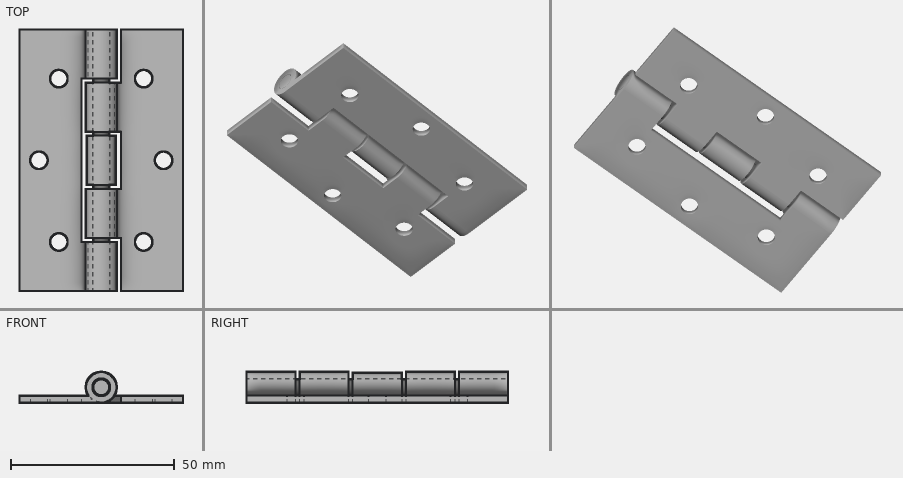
import cadquery as cq

length = 80.0
width = 50.0
leaf_thickness = 2.2
knuckle_diameter = 9.5
knuckle_radius = knuckle_diameter / 2
axis_height = knuckle_radius

segment_count = 5
gap = 1.2
segment_length = (length - (segment_count - 1) * gap) / segment_count
segment_pitch = segment_length + gap
pin_diameter = 5.0
pin_radius = pin_diameter / 2
bore_radius = 2.6
sleeve_radius = 4.5

hole_diameter = 5.3
hole_spacing = 25.0
outer_hole_x = 13.0
middle_hole_x = 19.0

left_segments = (0, 4)
right_segments = (1, 3)
middle_segment = 2


def segment_start(segment):
    """Y of the lower end of a barrel segment."""
    return -length / 2 + segment * segment_pitch


def cylinder(radius, start_y, cylinder_length):
    """Cylinder about the pin axis, running toward +Y from start_y."""
    return cq.Workplane(cq.Solid.makeCylinder(
        radius, cylinder_length, cq.Vector(0, start_y, axis_height), cq.Vector(0, 1, 0)))


def box(x_min, x_max, y_min, y_max):
    """Plate of leaf thickness resting on Z = 0."""
    return cq.Workplane().box(
        x_max - x_min, y_max - y_min, leaf_thickness, centered=False
    ).translate((x_min, y_min, 0))


def make_leaf(side, segments):
    """Flat leaf with rolled knuckles; side is -1 for left and 1 for right."""
    plate_inner_x = knuckle_radius + gap
    plate_width = width / 2 - plate_inner_x
    plate_center = side * (plate_inner_x + plate_width / 2)
    leaf = box(plate_center - plate_width / 2, plate_center + plate_width / 2, -length / 2, length / 2)

    for segment in segments:
        start = segment_start(segment)
        strip_ends = sorted((0, side * plate_inner_x))
        leaf = leaf.union(box(*strip_ends, start, start + segment_length))
        leaf = leaf.union(cylinder(knuckle_radius, start, segment_length))
    leaf = leaf.cut(cylinder(bore_radius, -length / 2, length))

    hole_points = [
        (side * outer_hole_x, -hole_spacing),
        (side * middle_hole_x, 0),
        (side * outer_hole_x, hole_spacing),
    ]
    holes = cq.Workplane().pushPoints(hole_points).circle(hole_diameter / 2).extrude(leaf_thickness)
    return leaf.cut(holes)


def make_pin():
    return cylinder(pin_radius, -length / 2, length)


def make_sleeve():
    """Spacer sleeve that sits loosely on the middle of the pin."""
    start = segment_start(middle_segment)
    return cylinder(sleeve_radius, start, segment_length).cut(cylinder(bore_radius, start, segment_length))


left_leaf = make_leaf(-1, left_segments)
right_leaf = make_leaf(1, right_segments)
pin = make_pin()
sleeve = make_sleeve()

result = cq.Compound.makeCompound([left_leaf.val(), right_leaf.val(), pin.val(), sleeve.val()])